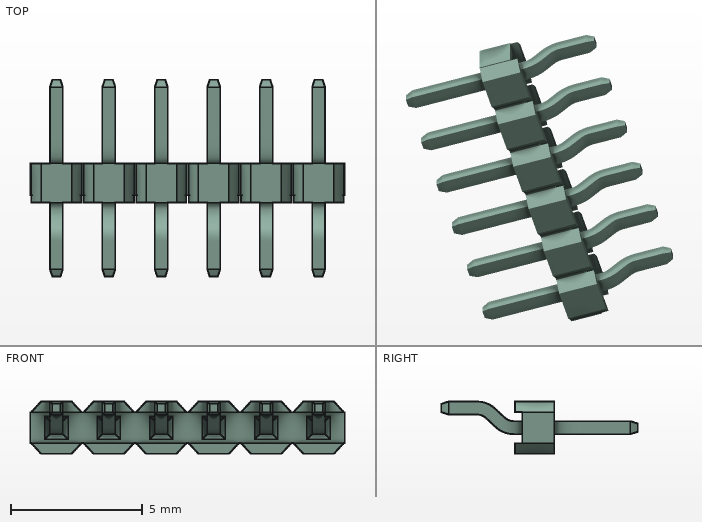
import cadquery as cq
import math


pin_count = 6
row_length = 12.0
pitch = row_length / pin_count
pin_positions = [(i - (pin_count - 1) / 2) * pitch for i in range(pin_count)]

housing_height = pitch
core_depth = 1.22
wing_depth = 1.5
wing_height = 0.41
wing_base_width = 1.92
wing_flat_width = 1.16
core_height = housing_height - 2 * wing_height

funnel_mouth = 0.89
funnel_depth = 0.19

pin_size = 0.5
tip_size = 0.31
tip_length = 0.29
back_reach = 3.19
front_reach = 2.82
bend_start = 0.05
bend_angle = math.radians(43)
bend_radius = 0.75
bend_rise = (housing_height - pin_size) / 2


def make_wing():
    """Upper wing of one pin position, centred on X = 0."""
    base_z = core_height / 2
    top_z = housing_height / 2
    outline = [
        (-wing_base_width / 2, base_z),
        (wing_base_width / 2, base_z),
        (wing_flat_width / 2, top_z),
        (-wing_flat_width / 2, top_z),
    ]
    return cq.Workplane("XZ").polyline(outline).close().extrude(wing_depth)


def make_pin_opening():
    """Square hole that fits a pin, with the funnel at its front end."""
    hole = cq.Workplane("XZ").rect(pin_size, pin_size).extrude(core_depth)
    funnel = (
        cq.Workplane("XZ", origin=(0, funnel_depth - core_depth, 0))
        .rect(pin_size, pin_size)
        .workplane(offset=funnel_depth)
        .rect(funnel_mouth, funnel_mouth)
        .loft(ruled=True)
    )
    return hole.union(funnel)


def make_housing():
    housing = cq.Workplane("XZ").rect(row_length, core_height).extrude(core_depth)
    upper_wing = make_wing()
    lower_wing = upper_wing.mirror("XY")
    opening = make_pin_opening()
    for x in pin_positions:
        housing = housing.union(upper_wing.translate((x, 0, 0)))
        housing = housing.union(lower_wing.translate((x, 0, 0)))
    for x in pin_positions:
        housing = housing.cut(opening.translate((x, 0, 0)))
    return housing


def make_tip(y, z, direction):
    """Tapered pin end that starts at (y, z) and points along +Y or -Y."""
    base = cq.Plane(origin=(0, y, z), xDir=(1, 0, 0), normal=(0, direction, 0))
    return (
        cq.Workplane(base)
        .rect(pin_size, pin_size)
        .workplane(offset=tip_length)
        .rect(tip_size, tip_size)
        .loft(ruled=True)
    )


def make_pin():
    """One pin, centred on X = 0, made by sweeping its square section along the wire's middle line."""
    back_y = back_reach - tip_length
    front_y = tip_length - wing_depth - front_reach
    first_bend_y = -wing_depth - bend_start

    bend_run = bend_radius * math.sin(bend_angle)
    bend_lift = bend_radius * (1 - math.cos(bend_angle))
    half_run = bend_radius * math.sin(bend_angle / 2)
    half_lift = bend_radius * (1 - math.cos(bend_angle / 2))
    slope_run = (bend_rise - 2 * bend_lift) / math.tan(bend_angle)
    slope_start_y = first_bend_y - bend_run
    slope_end_y = slope_start_y - slope_run
    last_bend_y = slope_end_y - bend_run

    wire_line = (
        cq.Workplane("YZ")
        .moveTo(back_y, 0)
        .lineTo(first_bend_y, 0)
        .threePointArc((first_bend_y - half_run, half_lift), (slope_start_y, bend_lift))
        .lineTo(slope_end_y, bend_rise - bend_lift)
        .threePointArc((last_bend_y + half_run, bend_rise - half_lift), (last_bend_y, bend_rise))
        .lineTo(front_y, bend_rise)
    )
    wire = cq.Workplane("XZ", origin=(0, back_y, 0)).rect(pin_size, pin_size).sweep(wire_line)
    back_tip = make_tip(back_y, 0, 1)
    front_tip = make_tip(front_y, bend_rise, -1)
    return wire.union(back_tip).union(front_tip)


housing = make_housing().solids()
pin = make_pin().solids()
pins = [pin.val().translate(cq.Vector(x, 0, 0)) for x in pin_positions]

result = cq.Compound.makeCompound([housing.val(), *pins])